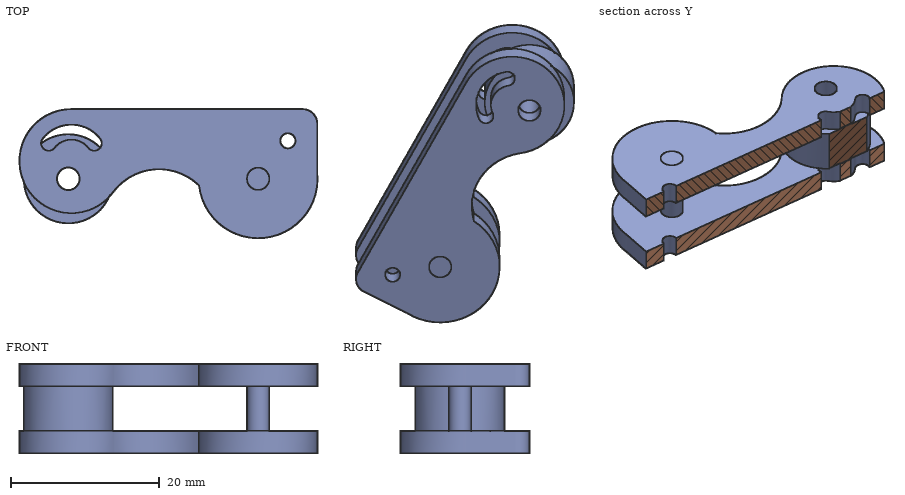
import cadquery as cq
import math


plate_thickness = 3.0
plate_gap = 6.0
overall_height = plate_gap + 2 * plate_thickness

roller_radius = 6.0
roller_bore_radius = 1.5

nose_x = 0.42
nose_y = 2.38
nose_radius = 7.0

pin_x = 25.5
pin_y = 0.0
pin_radius = 1.5
lobe_radius = 8.0

top_edge_y = nose_y + nose_radius
end_edge_x = 33.46
corner_radius = 2.0

bay_start_angle = -35.5
bay_end_angle = 186.5
bay_top_x = 12.2
bay_top_y = 1.27

corner_hole_x = 29.5
corner_hole_y = 5.1
corner_hole_radius = 1.0

slot_mid_radius = 3.88
slot_width = 2.0
slot_half_angle = 52.0


def point_on_circle(center_x, center_y, radius, degrees):
    angle = math.radians(degrees)
    return (center_x + radius * math.cos(angle), center_y + radius * math.sin(angle))


def plate_outline(base_z):
    nose_top = (nose_x, top_edge_y)
    nose_left = (nose_x - nose_radius, nose_y)
    bay_start = point_on_circle(nose_x, nose_y, nose_radius, bay_start_angle)
    bay_top = (bay_top_x, bay_top_y)
    bay_end = point_on_circle(pin_x, pin_y, lobe_radius, bay_end_angle)
    lobe_bottom = (pin_x, pin_y - lobe_radius)
    end_offset = end_edge_x - pin_x
    lobe_end = (end_edge_x, pin_y + math.sqrt(lobe_radius**2 - end_offset**2))
    corner_start = (end_edge_x, top_edge_y - corner_radius)
    corner_middle = point_on_circle(
        end_edge_x - corner_radius, top_edge_y - corner_radius, corner_radius, 45
    )
    corner_end = (end_edge_x - corner_radius, top_edge_y)
    return (
        cq.Workplane("XY", origin=(0, 0, base_z))
        .moveTo(*nose_top)
        .threePointArc(nose_left, bay_start)
        .threePointArc(bay_top, bay_end)
        .threePointArc(lobe_bottom, lobe_end)
        .lineTo(*corner_start)
        .threePointArc(corner_middle, corner_end)
        .close()
    )


def round_cutter(x, y, radius, base_z):
    return (
        cq.Workplane("XY", origin=(x, y, base_z))
        .circle(radius)
        .extrude(plate_thickness)
    )


def slot_cutter(base_z):
    """Arc slot with round ends, symmetric about the nose centreline along Y."""
    outer_radius = slot_mid_radius + slot_width / 2
    inner_radius = slot_mid_radius - slot_width / 2
    right_angle = 90 - slot_half_angle
    left_angle = 90 + slot_half_angle

    def nose_point(radius, degrees):
        return point_on_circle(nose_x, nose_y, radius, degrees)

    def end_tip(angle, turn):
        end_x, end_y = nose_point(slot_mid_radius, angle)
        return point_on_circle(end_x, end_y, slot_width / 2, angle + turn)

    return (
        cq.Workplane("XY", origin=(0, 0, base_z))
        .moveTo(*nose_point(outer_radius, right_angle))
        .threePointArc(nose_point(outer_radius, 90), nose_point(outer_radius, left_angle))
        .threePointArc(end_tip(left_angle, 90), nose_point(inner_radius, left_angle))
        .threePointArc(nose_point(inner_radius, 90), nose_point(inner_radius, right_angle))
        .threePointArc(end_tip(right_angle, -90), nose_point(outer_radius, right_angle))
        .close()
        .extrude(plate_thickness)
    )


def make_plate(base_z):
    return (
        plate_outline(base_z)
        .extrude(plate_thickness)
        .cut(round_cutter(0, 0, roller_bore_radius, base_z))
        .cut(round_cutter(pin_x, pin_y, pin_radius, base_z))
        .cut(round_cutter(corner_hole_x, corner_hole_y, corner_hole_radius, base_z))
        .cut(slot_cutter(base_z))
    )


def make_roller():
    return (
        cq.Workplane("XY", origin=(0, 0, -plate_gap / 2))
        .circle(roller_radius)
        .circle(roller_bore_radius)
        .extrude(plate_gap)
    )


def make_pin():
    """Pin through both plates, flush with their outer faces."""
    return (
        cq.Workplane("XY", origin=(pin_x, pin_y, -overall_height / 2))
        .circle(pin_radius)
        .extrude(overall_height)
    )


plate_base_heights = [-overall_height / 2, plate_gap / 2]
plates = [make_plate(base_z) for base_z in plate_base_heights]
roller = make_roller()
pin = make_pin()

result = cq.Compound.makeCompound(
    [*[plate.val() for plate in plates], roller.val(), pin.val()]
)